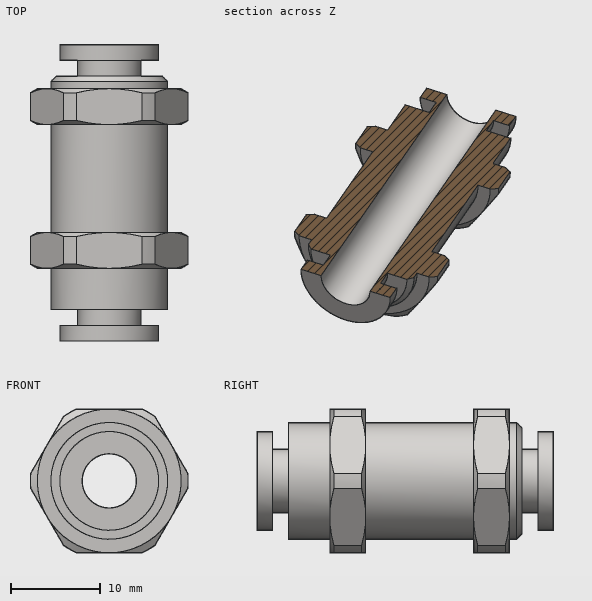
import cadquery as cq
import math


total_length = 33.0
bore_diameter = 6.0

release_diameter = 11.0
release_thickness = 1.75
neck_diameter = 7.1
neck_length = 1.75

body_diameter = 13.0
body_chamfer = 0.6

nut_sides = 6
nut_across_flats = 16.0
nut_corner_diameter = 17.59
nut_thickness = 4.0
nut_chamfer_angle = 30.0
nut_gap = 12.0
rear_nut_setback = 1.4

front_end = -total_length / 2
body_length = total_length - 2 * (release_thickness + neck_length)
body_front = -body_length / 2
body_rear = body_length / 2
rear_nut_start = body_rear - rear_nut_setback - nut_thickness
front_nut_start = rear_nut_start - nut_gap - nut_thickness


def cylinder(diameter, start, length):
    """Cylinder on the Y axis, running from y = start towards +Y."""
    plane = cq.Workplane("XZ", origin=(0, start, 0))
    return plane.circle(diameter / 2).extrude(-length)


def body():
    """Main sleeve with its chamfered rear edge."""
    sleeve = cylinder(body_diameter, body_front, body_length)
    return sleeve.faces(">Y").edges().chamfer(body_chamfer)


def hex_nut(start):
    """Hexagon with flats facing +Z and -Z and conically chamfered corners."""
    across_corners = nut_across_flats / math.cos(math.pi / nut_sides)
    plane = cq.Workplane("XZ", origin=(0, start, 0))
    hexagon = plane.polygon(nut_sides, across_corners).extrude(-nut_thickness)

    face_radius = nut_across_flats / 2
    corner_radius = nut_corner_diameter / 2
    end = start + nut_thickness
    cone_height = (corner_radius - face_radius) * math.tan(math.radians(nut_chamfer_angle))
    turned_blank = (
        cq.Workplane("XY")
        .moveTo(0, start)
        .lineTo(face_radius, start)
        .lineTo(corner_radius, start + cone_height)
        .lineTo(corner_radius, end - cone_height)
        .lineTo(face_radius, end)
        .lineTo(0, end)
        .close()
        .revolve(360, (0, 0, 0), (0, 1, 0))
    )
    return hexagon.intersect(turned_blank)


fitting = cylinder(neck_diameter, front_end, total_length).union(body())

for button_start in (front_end, -front_end - release_thickness):
    fitting = fitting.union(cylinder(release_diameter, button_start, release_thickness))

for nut_start in (front_nut_start, rear_nut_start):
    fitting = fitting.union(hex_nut(nut_start))

result = fitting.cut(cylinder(bore_diameter, front_end, total_length))